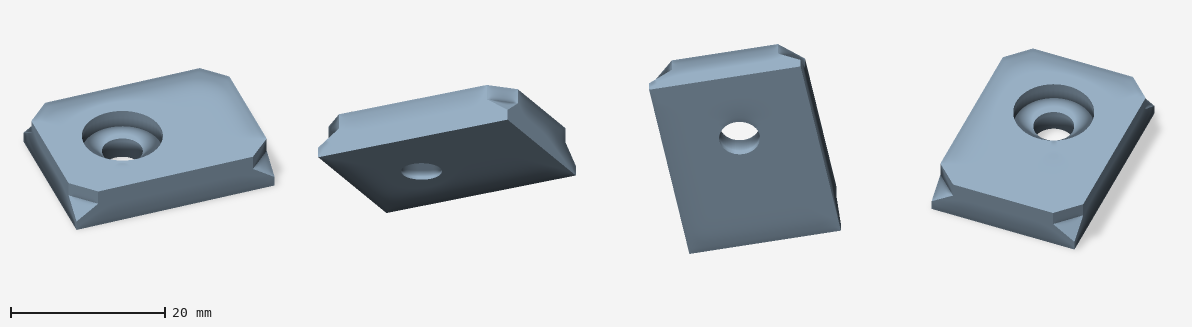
import cadquery as cq
import math

width = 20.0
length = 27.35
height = 5.5

hole_diameter = 5.3
counterbore_diameter = 10.5
counterbore_depth = 2.5
hole_from_front = 10.0

corner_leg = 3.0
corner_flat_height = 2.0
corner_slope = math.tan(math.radians(45))
corner_reach = corner_leg / math.sqrt(2)
cutter_overrun = 2 * corner_reach


def make_block():
    return cq.Workplane("XY").box(width, length, height, centered=(True, True, False))


def corner_cutter(x_side, y_side):
    """Prism removing one corner; its profile lies in the vertical plane bisecting that corner."""
    flat_bottom = height - corner_flat_height
    corner_x = x_side * width / 2
    corner_y = y_side * length / 2
    flat_centre = (
        corner_x - x_side * corner_leg / 2,
        corner_y - y_side * corner_leg / 2,
        0,
    )
    profile_plane = cq.Plane(
        origin=flat_centre,
        xDir=(x_side, y_side, 0),
        normal=(y_side, -x_side, 0),
    )
    up = profile_plane.yDir.z
    outer_bottom = flat_bottom - cutter_overrun * corner_slope
    profile = [
        (0, up * height),
        (0, up * flat_bottom),
        (cutter_overrun, up * outer_bottom),
        (cutter_overrun, up * height),
    ]
    return cq.Workplane(profile_plane).polyline(profile).close().extrude(cutter_overrun, both=True)


def cut_corners(body):
    for x_side in (-1, 1):
        for y_side in (-1, 1):
            body = body.cut(corner_cutter(x_side, y_side))
    return body


def cut_screw_hole(body):
    return (
        body.faces(">Z")
        .workplane(origin=(0, hole_from_front - length / 2, height))
        .cboreHole(hole_diameter, counterbore_diameter, counterbore_depth)
    )


result = cut_screw_hole(cut_corners(make_block()))